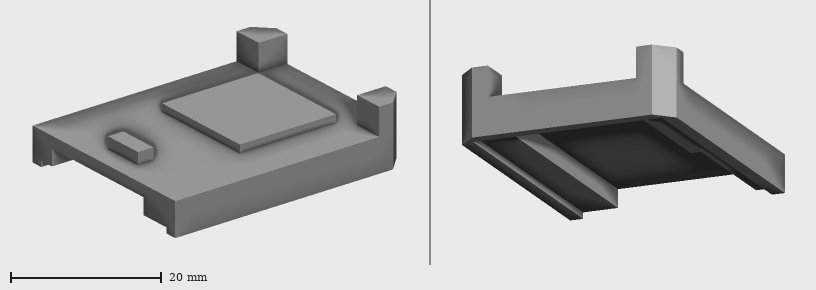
import cadquery as cq

WIDTH = 31.0
LENGTH = 39.0
HEIGHT = 9.75
DECK_Z = 5.4
CORNER_CHAMFER = 2.5

POST_SIDE = 4.8

PLATE_WIDTH = 16.9
PLATE_LENGTH = 16.1
PLATE_HEIGHT = 1.3
PLATE_REAR_GAP = 6.63

BUTTON_WIDTH = 6.5
BUTTON_LENGTH = 2.57
BUTTON_HEIGHT = 1.9
BUTTON_FRONT_GAP = 3.2

WALL = 1.87
LID_RECESS_DEPTH = 0.9
CAVITY_DEPTH = DECK_Z - WALL
CAVITY_LEFT_WALL = 4.17
CAVITY_RIGHT_WALL = 6.9
LEFT_STEP = 1.45
CAVITY_LENGTH = LENGTH - WALL
FRONT_BAY_LENGTH = CAVITY_LENGTH / 2

LEFT_X = -WIDTH / 2
RIGHT_X = WIDTH / 2


def box(x_range, y_range, z_range):
    """Axis-aligned box spanning the given (start, end) ranges."""
    starts, ends = zip(x_range, y_range, z_range)
    sizes = [end - start for start, end in zip(starts, ends)]
    return cq.Workplane("XY").box(*sizes, centered=False).translate(starts)


def make_body():
    """Main block with the two rear corner posts, chamfered over the full height."""
    body = box((LEFT_X, RIGHT_X), (0, LENGTH), (0, DECK_Z))
    for post_x in (LEFT_X, RIGHT_X - POST_SIDE):
        post = box((post_x, post_x + POST_SIDE), (LENGTH - POST_SIDE, LENGTH), (0, HEIGHT))
        body = body.union(post)
    outer_edges = body.edges("|Z").edges("<X or >X").edges(">Y")
    return outer_edges.chamfer(CORNER_CHAMFER)


def make_deck_pads():
    """Plate and small block, both centred across the deck."""
    plate_end = LENGTH - PLATE_REAR_GAP
    plate = box(
        (-PLATE_WIDTH / 2, PLATE_WIDTH / 2),
        (plate_end - PLATE_LENGTH, plate_end),
        (DECK_Z, DECK_Z + PLATE_HEIGHT),
    )
    button = box(
        (-BUTTON_WIDTH / 2, BUTTON_WIDTH / 2),
        (BUTTON_FRONT_GAP, BUTTON_FRONT_GAP + BUTTON_LENGTH),
        (DECK_Z, DECK_Z + BUTTON_HEIGHT),
    )
    return plate.union(button)


def make_cavity():
    """Shallow wide recess with a deeper cavity whose left wall steps inwards behind the front bay."""
    lid_recess = box((LEFT_X + WALL, RIGHT_X - WALL), (0, CAVITY_LENGTH), (0, LID_RECESS_DEPTH))
    bay_left = LEFT_X + CAVITY_LEFT_WALL
    cavity_right = RIGHT_X - CAVITY_RIGHT_WALL
    front_bay = box((bay_left, cavity_right), (0, FRONT_BAY_LENGTH), (0, CAVITY_DEPTH))
    rear_bay = box((bay_left + LEFT_STEP, cavity_right), (0, CAVITY_LENGTH), (0, CAVITY_DEPTH))
    return lid_recess.union(front_bay).union(rear_bay)


result = make_body().union(make_deck_pads()).cut(make_cavity())